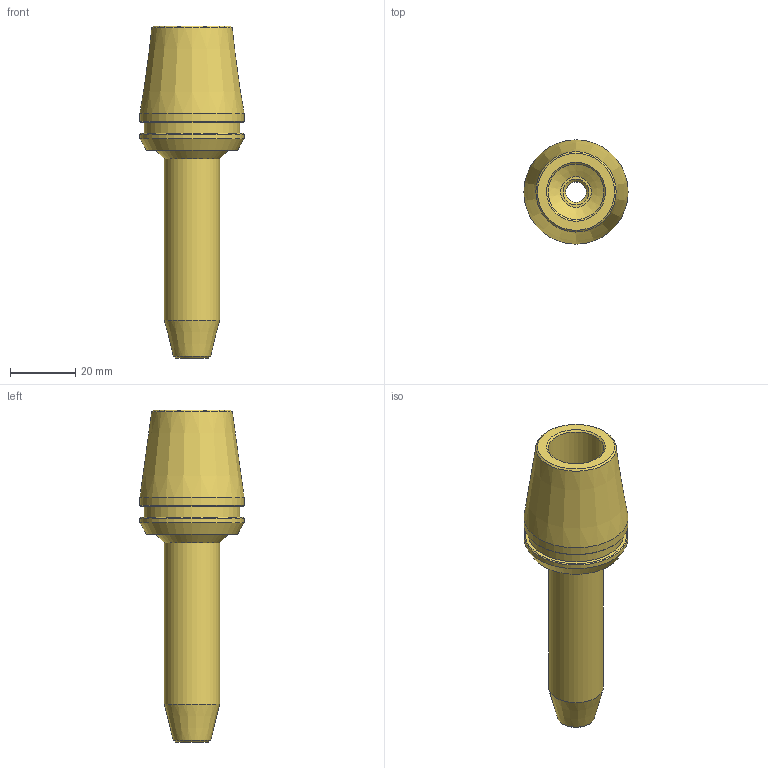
import cadquery as cq
import math

total_height = 101.6
tip_taper_top = 11.6
neck_bottom = 60.95
collar_bottom = 63.6
collar_rim_bottom = 67.1
groove_bottom = 68.8
groove_top = 72.15
head_taper_bottom = 74.95

tip_diameter = 11.4
stem_diameter = 16.89
head_diameter = 31.88
groove_diameter = 29.26
head_top_diameter = 24.6

collar_angle = 30.0

tip_edge_break = 0.5
head_edge_break = 0.5
groove_edge_break = 0.3
socket_edge_break = 0.5

socket_diameter = 17.02
floor_inner_diameter = 9.46
throat_diameter = 7.87
hole_diameter = 6.35
socket_depth = 26.0
floor_angle = 30.0
throat_angle = 45.0


def revolve_profile(points):
    """Revolve a closed (radius, height) outline about the Z axis."""
    return cq.Workplane("YZ").polyline(points).close().revolve(360, (0, 0, 0), (0, 1, 0))


def outer_body():
    """Stem, collar and tapered head with a ring groove between them."""
    stem_radius = stem_diameter / 2
    head_radius = head_diameter / 2
    groove_radius = groove_diameter / 2
    neck_top_radius = stem_radius + collar_bottom - neck_bottom
    collar_height = collar_rim_bottom - collar_bottom
    collar_bottom_radius = head_radius - collar_height * math.tan(math.radians(collar_angle))
    rim_edge_radius = head_radius - groove_edge_break
    return revolve_profile([
        (0, 0),
        (tip_diameter / 2 - tip_edge_break, 0),
        (tip_diameter / 2, tip_edge_break),
        (stem_radius, tip_taper_top),
        (stem_radius, neck_bottom),
        (neck_top_radius, collar_bottom),
        (collar_bottom_radius, collar_bottom),
        (head_radius, collar_rim_bottom),
        (head_radius, groove_bottom - groove_edge_break),
        (rim_edge_radius, groove_bottom),
        (groove_radius, groove_bottom),
        (groove_radius, groove_top),
        (rim_edge_radius, groove_top),
        (head_radius, groove_top + groove_edge_break),
        (head_radius, head_taper_bottom),
        (head_top_diameter / 2, total_height - head_edge_break),
        (head_top_diameter / 2 - head_edge_break, total_height),
        (0, total_height),
    ])


def axial_bore():
    """Socket open at the top, narrowing to a hole through the stem."""
    socket_radius = socket_diameter / 2
    floor_inner_radius = floor_inner_diameter / 2
    throat_radius = throat_diameter / 2
    hole_radius = hole_diameter / 2
    floor_top = total_height - socket_depth
    floor_drop = (socket_radius - floor_inner_radius) * math.tan(math.radians(floor_angle))
    throat_drop = (throat_radius - hole_radius) * math.tan(math.radians(throat_angle))
    step_height = floor_top - floor_drop
    return revolve_profile([
        (0, 0),
        (hole_radius, 0),
        (hole_radius, step_height - throat_drop),
        (throat_radius, step_height),
        (floor_inner_radius, step_height),
        (socket_radius, floor_top),
        (socket_radius, total_height - socket_edge_break),
        (socket_radius + socket_edge_break, total_height),
        (0, total_height),
    ])


result = outer_body().cut(axial_bore())